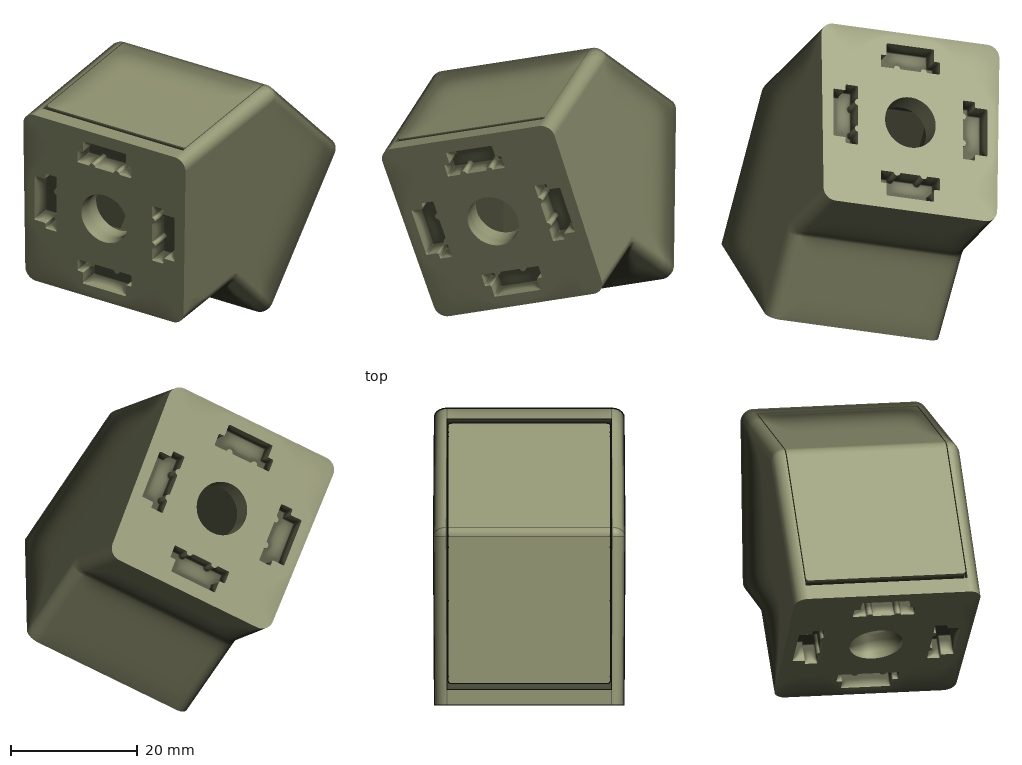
import cadquery as cq
import math

overall_length = 46.8
bend_angle = math.radians(45.0)
half_bend = bend_angle / 2
outer_arm = overall_length / (1 + math.cos(bend_angle))
side = 30.0
rear_direction = cq.Vector(0, math.cos(bend_angle), -math.sin(bend_angle))
outer_round = 2.0
inner_bend_round = 1.0

corner_width = 30.3
flank_draft = math.radians(0.88)

end_wall = 4.5
cavity_width = 26.0
cavity_floor_depth = 26.8
cavity_floor_round = 1.0

recess_end_inset = 2.5
lid_end_inset = 3.35
lid_thickness = 1.8
lid_width = 25.6
lid_corner_round = 0.5
cut_margin = 0.45

bore_diameter = 8.5
slot_outer = 12.9
slot_inner = 8.8
slot_step = 10.85
slot_wide = 9.92
slot_narrow = 7.95
slot_depth = 3.5
slot_round = 0.2
rib_radius = 0.5
rib_offset = 2.25
slots_per_end = 4


def bent_band(near_depth, far_depth, end_inset, width):
    """Bent slab between two depths below the outer faces, stopping short of both end faces."""
    def arm_points(depth):
        corner_y = outer_arm - depth * math.tan(half_bend)
        reach = corner_y - end_inset
        rear_end = (corner_y + reach * math.cos(bend_angle), -depth - reach * math.sin(bend_angle))
        return [(end_inset, -depth), (corner_y, -depth), rear_end]

    outline = arm_points(near_depth) + arm_points(far_depth)[::-1]
    return cq.Workplane("YZ").polyline(outline).close().extrude(width / 2, both=True)


def bend_edge(depth):
    """Selector for the edge across the bend at a depth below the outer faces."""
    return cq.selectors.NearestToPointSelector((0, outer_arm - depth * math.tan(half_bend), -depth))


def rear_face():
    """Selector for the end face of the rear arm."""
    return cq.selectors.DirectionMinMaxSelector(rear_direction, True)


def flank_wedge():
    """Prism whose sloping flanks trim the elbow, symmetric about the plane that halves the bend."""
    reach = 2 * overall_length
    tip_width = corner_width - 2 * reach * math.tan(flank_draft)
    halving_plane = cq.Plane(
        origin=(0, outer_arm, 0),
        xDir=(1, 0, 0),
        normal=(0, -math.cos(half_bend), math.sin(half_bend)),
    )
    outline = [
        (-corner_width / 2, 0),
        (corner_width / 2, 0),
        (tip_width / 2, -reach),
        (-tip_width / 2, -reach),
    ]
    return cq.Workplane(halving_plane).polyline(outline).close().extrude(reach, both=True)


def outer_shell():
    """Solid elbow with drafted flanks, rounded along its length and across the bend."""
    elbow = bent_band(0, side, 0, corner_width).intersect(flank_wedge())
    elbow = elbow.edges(bend_edge(side)).fillet(inner_bend_round)
    end_edges = elbow.faces("<Y").edges().vals() + elbow.faces(rear_face()).edges().vals()
    lengthwise = [
        edge for edge in elbow.edges("not |X").vals()
        if not any(edge.isSame(end_edge) for end_edge in end_edges)
    ]
    outer_bend = elbow.edges(bend_edge(0)).val()
    return elbow.newObject(lengthwise + [outer_bend]).fillet(outer_round)


def cavity():
    """Hollow below the lid, with rounds along both sides of its floor."""
    hollow = bent_band(lid_thickness, cavity_floor_depth, end_wall, cavity_width)
    front_floor_sides = hollow.edges("|Y").edges("<Z")
    rear_up = cq.Vector(0, math.sin(bend_angle), math.cos(bend_angle))
    rear_floor_sides = hollow.edges(cq.selectors.ParallelDirSelector(rear_direction)).edges(
        cq.selectors.DirectionMinMaxSelector(rear_up, False)
    )
    return front_floor_sides.add(rear_floor_sides).fillet(cavity_floor_round)


def slot_tool():
    """Stepped slot with two half-round ribs on its inner edge, sunk along +Z from the XY plane."""
    block = (
        cq.Workplane("XY")
        .moveTo(-slot_wide / 2, slot_inner)
        .lineTo(-rib_offset - rib_radius, slot_inner)
        .threePointArc((-rib_offset, slot_inner + rib_radius), (-rib_offset + rib_radius, slot_inner))
        .lineTo(rib_offset - rib_radius, slot_inner)
        .threePointArc((rib_offset, slot_inner + rib_radius), (rib_offset + rib_radius, slot_inner))
        .lineTo(slot_wide / 2, slot_inner)
        .lineTo(slot_wide / 2, slot_step)
        .lineTo(slot_narrow / 2, slot_step)
        .lineTo(slot_narrow / 2, slot_outer)
        .lineTo(-slot_narrow / 2, slot_outer)
        .lineTo(-slot_narrow / 2, slot_step)
        .lineTo(-slot_wide / 2, slot_step)
        .close()
        .extrude(slot_depth)
    )
    block = block.edges("|Z").fillet(slot_round)
    return block.faces(">Z").edges().fillet(slot_round)


def end_planes():
    """Planes on the two end faces, centred on the bore and facing into the elbow."""
    front = cq.Plane(origin=(0, 0, -side / 2), xDir=(1, 0, 0), normal=(0, 1, 0))
    sine, cosine = math.sin(bend_angle), math.cos(bend_angle)
    rear_centre = (
        0,
        outer_arm * (1 + cosine) - side / 2 * sine,
        -outer_arm * sine - side / 2 * cosine,
    )
    rear = cq.Plane(origin=rear_centre, xDir=(1, 0, 0), normal=(0, -cosine, sine))
    return [front, rear]


def make_housing():
    """Hollow elbow with a lid recess, and a bore and four slots in each end face."""
    body = outer_shell()
    body = body.cut(bent_band(-cut_margin, lid_thickness, recess_end_inset, cavity_width))
    body = body.cut(cavity())
    for plane in end_planes():
        body = body.cut(cq.Workplane(plane).circle(bore_diameter / 2).extrude(end_wall + cut_margin))
        for index in range(slots_per_end):
            slot = slot_tool().rotate((0, 0, 0), (0, 0, 1), index * 360 / slots_per_end)
            body = body.cut(slot.val().moved(cq.Location(plane)))
    return body


def make_lid():
    """Bent plate resting on the ledges at both ends of the recess."""
    plate = bent_band(0, lid_thickness, lid_end_inset, lid_width)
    plate = plate.edges(bend_edge(0)).fillet(outer_round)
    plate = plate.faces("<Y").edges("|Z").fillet(lid_corner_round)
    return plate.faces(rear_face()).edges("not |X").fillet(lid_corner_round)


housing = make_housing()
lid = make_lid()
result = cq.Compound.makeCompound([housing.val(), lid.val()])